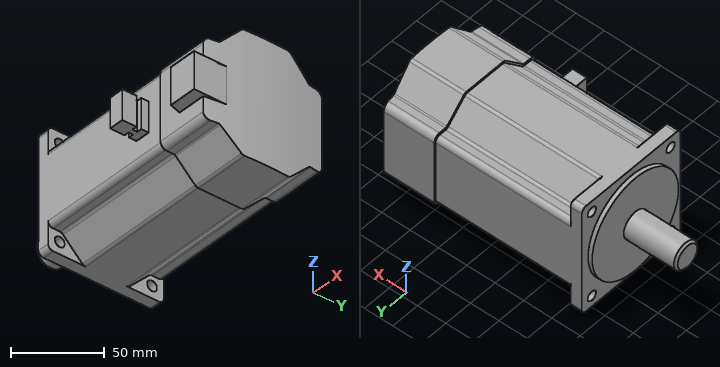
import cadquery as cq
import math

total_length = 182.0
total_depth = 99.2

shaft_length = 36.8
shaft_radius = 9.5
shaft_chamfer = 1.5

pilot_radius = 35.0
pilot_thickness = 3.0
flange_width = 79.9
flange_half = flange_width / 2
flange_thickness = 8.0
flange_corner_radius = 3.5
hole_offset = 31.8
hole_diameter = 6.7

barrel_length = 95.2
barrel_half = flange_half
barrel_crest = 15.5
barrel_notch_root = 30.5
barrel_ledge = 25.1
barrel_bend_radius = 3.1

cap_width = 82.0
cap_half = cap_width / 2
cap_crest = 16.2
cap_notch_root = 31.1
cap_ledge = 26.5
cap_root_radius = 1.55
cap_side_radius = 4.4
cap_end_radius = 245.7

plug_start = 121.5
plug_width = 10.2
plug_height = 20.2
plug_half_height = plug_height / 2
plug_tip_y = cap_half - total_depth
plug_neck_width = 3.6
plug_neck_outer_y = -48.2
plug_neck_inner_y = -45.1

socket_front_root = 158.9
socket_front_tip = 161.3
socket_back = 180.5
socket_half_height = 12.4
socket_tip_y = -49.0

pilot_start = shaft_length
flange_start = pilot_start + pilot_thickness
barrel_start = flange_start + flange_thickness
cap_start = barrel_start + barrel_length


def notched_bar(start, length, half, crest, notch_root, ledge, crest_radius, root_radius, side_radius):
    """Square bar along X whose four corners are notched, with rounded bends."""
    quarter = [(crest, half), (notch_root, ledge), (half, ledge)]
    outline = (
        quarter
        + [(y, -z) for y, z in reversed(quarter)]
        + [(-y, -z) for y, z in quarter]
        + [(-y, z) for y, z in reversed(quarter)]
    )
    bar = cq.Workplane("YZ", origin=(start, 0, 0)).polyline(outline).close().extrude(length)

    middle = start + length / 2
    for (y, z), radius in zip(quarter, (crest_radius, root_radius, side_radius)):
        for side_y in (1, -1):
            for side_z in (1, -1):
                corner = cq.selectors.NearestToPointSelector((middle, side_y * y, side_z * z))
                bar = bar.edges("|X").edges(corner).fillet(radius)
    return bar


def make_shaft():
    shaft = cq.Workplane("YZ").circle(shaft_radius).extrude(shaft_length)
    return shaft.faces("<X").chamfer(shaft_chamfer)


def make_flange():
    """Mounting flange with its round pilot and four screw holes."""
    flange = (
        cq.Workplane("YZ", origin=(flange_start, 0, 0))
        .rect(2 * flange_half, 2 * flange_half)
        .extrude(flange_thickness)
        .edges("|X")
        .fillet(flange_corner_radius)
    )
    holes = (
        cq.Workplane("YZ", origin=(flange_start, 0, 0))
        .rect(2 * hole_offset, 2 * hole_offset, forConstruction=True)
        .vertices()
        .circle(hole_diameter / 2)
        .extrude(flange_thickness)
    )
    pilot = cq.Workplane("YZ", origin=(pilot_start, 0, 0)).circle(pilot_radius).extrude(pilot_thickness)
    return flange.cut(holes).union(pilot)


def make_barrel():
    return notched_bar(
        barrel_start, barrel_length, barrel_half, barrel_crest, barrel_notch_root, barrel_ledge,
        barrel_bend_radius, barrel_bend_radius, flange_corner_radius,
    )


def make_cap():
    """Rear cap, trimmed by the large cylinder that forms its rear face."""
    cap = notched_bar(
        cap_start, total_length - cap_start, cap_half, cap_crest, cap_notch_root, cap_ledge,
        barrel_bend_radius, cap_root_radius, cap_side_radius,
    )
    rear_face = (
        cq.Workplane("XY", origin=(total_length - cap_end_radius, 0, 0))
        .circle(cap_end_radius)
        .extrude(cap_half, both=True)
    )
    return cap.intersect(rear_face)


def make_plug():
    """Signal connector: a block with a groove on each side that leaves a neck."""
    plug_end = plug_start + plug_width
    neck_start = plug_start + (plug_width - plug_neck_width) / 2
    neck_end = neck_start + plug_neck_width
    outline = [
        (plug_start, -barrel_half),
        (plug_start, plug_neck_inner_y),
        (neck_start, plug_neck_inner_y),
        (neck_start, plug_neck_outer_y),
        (plug_start, plug_neck_outer_y),
        (plug_start, plug_tip_y),
        (plug_end, plug_tip_y),
        (plug_end, plug_neck_outer_y),
        (neck_end, plug_neck_outer_y),
        (neck_end, plug_neck_inner_y),
        (plug_end, plug_neck_inner_y),
        (plug_end, -barrel_half),
    ]
    return cq.Workplane("XY").polyline(outline).close().extrude(plug_half_height, both=True)


def make_socket():
    """Power socket with a sloped front, reaching in to where its back meets the rear face."""
    rear_reach = socket_back - (total_length - cap_end_radius)
    socket_root_y = -math.sqrt(cap_end_radius**2 - rear_reach**2)
    outline = [
        (socket_front_root, -cap_half),
        (socket_front_tip, socket_tip_y),
        (socket_back, socket_tip_y),
        (socket_back, socket_root_y),
        (socket_front_root, socket_root_y),
    ]
    return cq.Workplane("XY").polyline(outline).close().extrude(socket_half_height, both=True)


def make_housing():
    housing = make_flange()
    for section in (make_barrel(), make_cap(), make_plug(), make_socket()):
        housing = housing.union(section)
    return housing


shaft = make_shaft()
housing = make_housing()
result = cq.Compound.makeCompound([shaft.val(), *housing.solids().vals()])